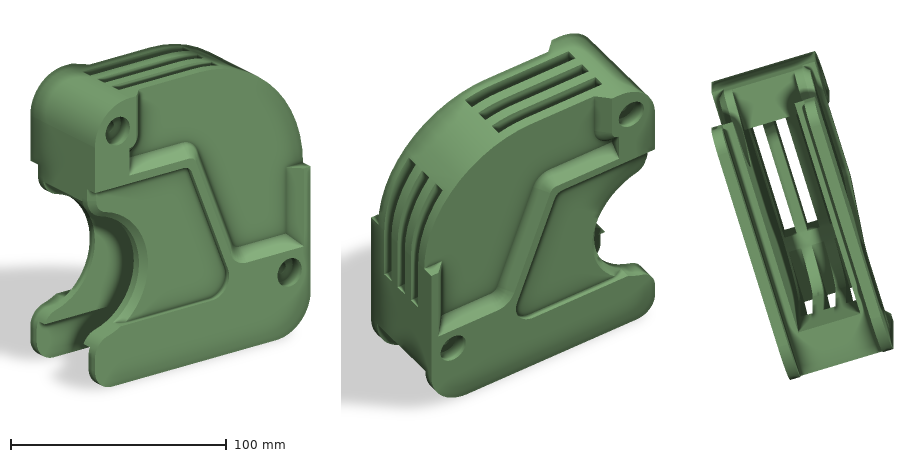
import cadquery as cq
import math

width = 50.0
depth = 125.0
height = 142.0
half_width = width / 2
margin = 14.2

corner_radius = 20.0
back_top_radius = 59.9
tip_radius = 10.0

wall = 20.0
cavity_bend = 28.4
side_wall = 10.0
skirt_wall = 5.0
skirt_height = 20.3
front_opening_top = 92.0

slope_angle = 45.0
recess_depth = 6.0
rim_width = 4.0
rim_top = height - back_top_radius
large_bend = 10.0
small_bend = large_bend - recess_depth
recess_bottom = 43.0
recess_step = 103.2
slant_bottom_y = 81.1
slant_top_y = 57.5
channel_front = 20.0
channel_top = 116.9
front_pad_edge = channel_front + small_bend
slant_lean = (slant_bottom_y - slant_top_y) / (recess_step - recess_bottom)

pocket_depth = 3.0
pocket_gap = 4.0
pocket_bottom = 29.0
pocket_top = recess_step - pocket_gap
pocket_bottom_radius = 10.0
pocket_top_radius = 5.0

mouth_radius = 30.0
mouth_z = 55.0
mouth_bevel = 3.0

slot_count = 3
slot_width = 6.0
slot_pitch = 11.1
top_slot_front = 22.0
top_slot_back = 80.0
back_slot_bottom = 55.1
back_slot_top = 120.1

hole_diameter = 6.0
counterbore_diameter = 14.0
counterbore_depth = 7.0
hole_centers = [(13.2, 127.1), (112.7, 32.0)]


def box(x_range, y_range, z_range):
    """Box spanning the given (low, high) range along each axis."""
    spans = [high - low for low, high in (x_range, y_range, z_range)]
    corner = (x_range[0], y_range[0], z_range[0])
    return cq.Workplane("XY").box(*spans, centered=False).translate(corner)


def side_plane(x):
    """Workplane at the given X whose local axes are Y and Z."""
    return cq.Workplane("YZ").workplane(offset=x)


def round_corners(points, radii):
    """Polygon sketch with the listed corners (index to radius) rounded."""
    sketch = cq.Sketch().polygon(points + points[:1])
    for index, radius in radii.items():
        y, z = points[index]
        sketch = sketch.reset().vertices(cq.NearestToPointSelector((y, z, 0))).fillet(radius)
    return sketch.reset()


def make_block():
    """Full-width block with its four outer corners rounded."""
    block = box((-half_width, half_width), (0, depth), (0, height))
    block = block.edges("|X and >Y and >Z").fillet(back_top_radius)
    block = block.edges("|X and >Y and <Z").fillet(corner_radius)
    block = block.edges("|X and <Y and >Z").fillet(corner_radius)
    return block.edges("|X and <Y and <Z").fillet(tip_radius)


def make_interior():
    """Cavity, its front opening and the wider gap between the skirts."""
    inner = half_width - side_wall
    skirt = half_width - skirt_wall
    cavity = box((-inner, inner), (wall, depth - wall), (-margin, height - wall))
    cavity = cavity.edges("|X and >Y and >Z").fillet(cavity_bend)
    opening = box((-inner, inner), (-margin, wall), (-margin, front_opening_top))
    gap = box((-skirt, skirt), (-margin, depth + margin), (-margin, skirt_height))
    return cavity.union(opening).union(gap)


def make_recess():
    """Recess in the +X face, edges sloped except at the front and above the rim."""
    outline = [
        (depth - rim_width, recess_bottom),
        (slant_bottom_y, recess_bottom),
        (slant_top_y, recess_step),
        (channel_front - margin, recess_step),
        (channel_front - margin, channel_top),
        (front_pad_edge, channel_top),
        (front_pad_edge, height + margin),
        (depth - rim_width, height + margin),
    ]
    sketch = round_corners(outline, {1: large_bend, 2: small_bend, 5: small_bend})
    sloped = side_plane(half_width).placeSketch(sketch).extrude(-recess_depth, taper=slope_angle)
    x_range = (half_width - recess_depth, half_width)
    z_range = (0, height + margin)
    sloped = sloped.intersect(box(x_range, (channel_front, depth), z_range))
    above_rim = box(x_range, (depth - margin, depth + margin), (rim_top, height + margin))
    return sloped.union(above_rim)


def slant_y(z):
    """Y of the pocket's slanted edge at height z."""
    edge_y = slant_top_y + (recess_step - z) * slant_lean
    return edge_y - pocket_gap * math.hypot(1, slant_lean)


def make_pocket(cut_depth):
    """Straight-walled pocket in the +X face, running out through the front."""
    outline = [
        (-margin, pocket_bottom),
        (slant_y(pocket_bottom), pocket_bottom),
        (slant_y(pocket_top), pocket_top),
        (-margin, pocket_top),
    ]
    sketch = round_corners(outline, {1: pocket_bottom_radius, 2: pocket_top_radius})
    return side_plane(half_width).placeSketch(sketch).extrude(-cut_depth)


def mouth_outline(x):
    """Mouth profile: a round bite blended into the front edge above and below."""
    rise = math.sqrt((mouth_radius + tip_radius) ** 2 - tip_radius ** 2)
    angle = math.atan2(rise, tip_radius)
    half_angle = (math.pi + angle) / 2
    tangent_y = mouth_radius * math.cos(angle)
    tangent_rise = mouth_radius * math.sin(angle)
    blend_y = tip_radius + tip_radius * math.cos(half_angle)
    blend_rise = rise - tip_radius * math.sin(half_angle)
    return (
        side_plane(x)
        .moveTo(-margin, -margin)
        .lineTo(0, -margin)
        .lineTo(0, mouth_z - rise)
        .threePointArc((blend_y, mouth_z - blend_rise), (tangent_y, mouth_z - tangent_rise))
        .threePointArc((mouth_radius, mouth_z), (tangent_y, mouth_z + tangent_rise))
        .threePointArc((blend_y, mouth_z + blend_rise), (0, mouth_z + rise))
        .lineTo(0, height)
        .lineTo(-margin, height)
        .close()
    )


def make_mouth():
    """Mouth through the +X side wall, beveled where it meets the pocket floor."""
    opening = mouth_outline(half_width - side_wall).extrude(side_wall)
    bevel_start = half_width - pocket_depth - mouth_bevel
    bevel = mouth_outline(bevel_start).extrude(mouth_bevel, taper=-slope_angle)
    return opening.union(bevel.intersect(make_pocket(pocket_depth + mouth_bevel)))


def make_slots():
    """Parallel slots cut down through the top and forward through the back."""
    slots = cq.Workplane("XY")
    for index in range(slot_count):
        center = (index - (slot_count - 1) / 2) * slot_pitch
        x_range = (center - slot_width / 2, center + slot_width / 2)
        top = box(x_range, (top_slot_front, top_slot_back), (rim_top, height + margin))
        back_y_range = (depth - back_top_radius, depth + margin)
        back = box(x_range, back_y_range, (back_slot_bottom, back_slot_top))
        slots = slots.add(top).add(back)
    return slots.combine()


def make_holes():
    """Cross holes through the full width, counterbored from both faces."""
    points = side_plane(-half_width).pushPoints(hole_centers)
    holes = points.circle(hole_diameter / 2).extrude(width)
    for start in (-half_width, half_width - counterbore_depth):
        points = side_plane(start).pushPoints(hole_centers)
        holes = holes.union(points.circle(counterbore_diameter / 2).extrude(counterbore_depth))
    return holes


result = make_block().cut(make_interior())
for side_cut in (make_recess(), make_pocket(pocket_depth), make_mouth()):
    result = result.cut(side_cut).cut(side_cut.mirror("YZ"))
result = result.cut(make_slots()).cut(make_holes())